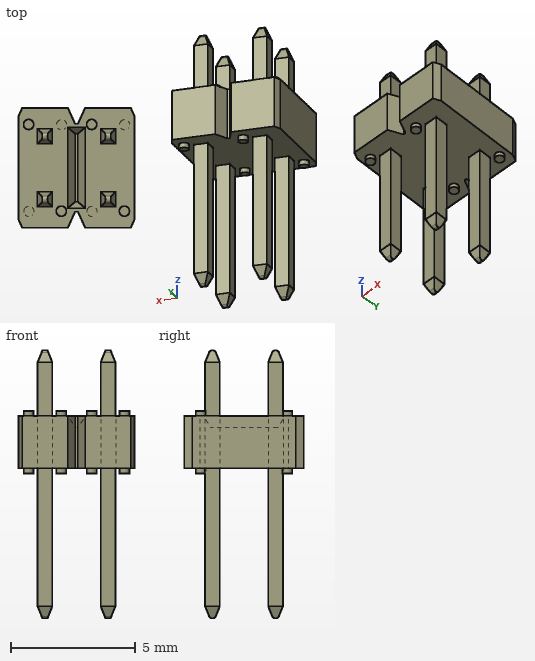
import cadquery as cq
import math

HOUSING_X = 4.68
HOUSING_Y = 4.83
HOUSING_HEIGHT = 2.12
CORNER_CUT_X = 0.15
CORNER_CUT_Y = 0.33

NOTCH_HALF_MOUTH = 0.35
NOTCH_HALF_FLOOR = 0.05
NOTCH_DEPTH = 0.64

POCKET_MOUTH_X = 0.7
POCKET_MOUTH_Y = 3.25
POCKET_FLOOR_X = 0.1
POCKET_FLOOR_Y = 2.72
POCKET_DEPTH = 0.46

STUD_DIAMETER = 0.41
STUD_HEIGHT = 0.2
STUD_OFFSET_X = 0.66
STUD_OFFSET_Y = 0.48

PIN_PITCH = 2.54
PIN_LENGTH = 10.8
PIN_WIDTH = 0.6
PIN_ABOVE_HOUSING = 2.65
TIP_LENGTH = 0.5
TIP_TAPER_ANGLE = 22.0

HOUSING_TOP = HOUSING_HEIGHT / 2
PIN_TOP = HOUSING_TOP + PIN_ABOVE_HOUSING
PIN_CENTRE_Z = PIN_TOP - PIN_LENGTH / 2
SIDES = (-1, 1)
PIN_CENTRES = [(sx * PIN_PITCH / 2, sy * PIN_PITCH / 2) for sx in SIDES for sy in SIDES]


def make_block():
    """Block with cut corners and a V notch in the middle of its front and back."""
    half_x = HOUSING_X / 2
    half_y = HOUSING_Y / 2
    back_right = [
        (NOTCH_HALF_FLOOR, half_y - NOTCH_DEPTH),
        (NOTCH_HALF_MOUTH, half_y),
        (half_x - CORNER_CUT_X, half_y),
        (half_x, half_y - CORNER_CUT_Y),
    ]
    front_right = [(x, -y) for x, y in reversed(back_right)]
    right = back_right + front_right
    left = [(-x, y) for x, y in reversed(right)]
    return (
        cq.Workplane("XY", origin=(0, 0, -HOUSING_TOP))
        .polyline(right + left)
        .close()
        .extrude(HOUSING_HEIGHT)
    )


def make_pocket():
    """Cutter for the pocket, narrowing from its mouth to a thin floor."""
    return (
        cq.Workplane("XY", origin=(0, 0, HOUSING_TOP))
        .rect(POCKET_MOUTH_X, POCKET_MOUTH_Y)
        .workplane(offset=-POCKET_DEPTH)
        .rect(POCKET_FLOOR_X, POCKET_FLOOR_Y)
        .loft(ruled=True)
    )


def make_studs(face_side):
    """One stud beside each pin; the bottom pattern (-1) mirrors the top one (+1) in X."""
    centres = []
    for x, y in PIN_CENTRES:
        row_side = math.copysign(1, y)
        stud_x = x - face_side * row_side * STUD_OFFSET_X
        stud_y = y + row_side * STUD_OFFSET_Y
        centres.append((stud_x, stud_y))
    return (
        cq.Workplane("XY", origin=(0, 0, face_side * HOUSING_TOP))
        .pushPoints(centres)
        .circle(STUD_DIAMETER / 2)
        .extrude(face_side * STUD_HEIGHT)
    )


def make_housing():
    """Block with its pocket, studs and a square hole for each pin."""
    pin_holes = (
        cq.Workplane("XY", origin=(0, 0, -HOUSING_TOP))
        .pushPoints(PIN_CENTRES)
        .rect(PIN_WIDTH, PIN_WIDTH)
        .extrude(HOUSING_HEIGHT)
    )
    body = make_block().cut(make_pocket())
    for face_side in SIDES:
        body = body.union(make_studs(face_side))
    return body.cut(pin_holes)


def make_pin(x, y):
    """Square pin: tips flat-ended across X and rounded, tangent to the taper, across Y."""
    half_width = PIN_WIDTH / 2
    half_length = PIN_LENGTH / 2
    shoulder = half_length - TIP_LENGTH
    taper = math.radians(TIP_TAPER_ANGLE)
    half_end = half_width - TIP_LENGTH * math.tan(taper)

    round_radius = half_end / (1 / math.cos(taper) - math.tan(taper))
    tangent_y = round_radius * math.cos(taper)
    tangent_z = half_length - round_radius + round_radius * math.sin(taper)

    centre = (x, y, PIN_CENTRE_Z)
    flat_profile = (
        cq.Workplane("XZ", origin=centre)
        .moveTo(-half_width, -shoulder)
        .lineTo(-half_end, -half_length)
        .lineTo(half_end, -half_length)
        .lineTo(half_width, -shoulder)
        .lineTo(half_width, shoulder)
        .lineTo(half_end, half_length)
        .lineTo(-half_end, half_length)
        .lineTo(-half_width, shoulder)
        .close()
        .extrude(half_width, both=True)
    )
    round_profile = (
        cq.Workplane("YZ", origin=centre)
        .moveTo(-half_width, -shoulder)
        .lineTo(-tangent_y, -tangent_z)
        .threePointArc((0, -half_length), (tangent_y, -tangent_z))
        .lineTo(half_width, -shoulder)
        .lineTo(half_width, shoulder)
        .lineTo(tangent_y, tangent_z)
        .threePointArc((0, half_length), (-tangent_y, tangent_z))
        .lineTo(-half_width, shoulder)
        .close()
        .extrude(half_width, both=True)
    )
    return flat_profile.intersect(round_profile)


housing = make_housing()
pins = [make_pin(x, y) for x, y in PIN_CENTRES]

result = cq.Compound.makeCompound([housing.val(), *[pin.val() for pin in pins]])